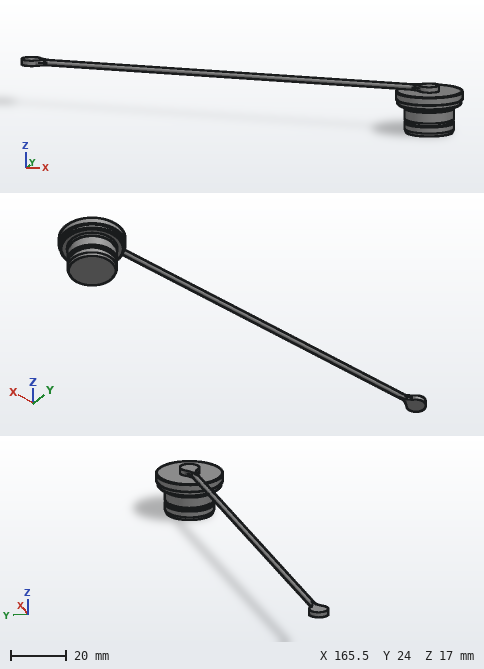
import cadquery as cq
import math

tab_spacing = 150.0
tab_radius = 3.5
strap_thickness = 2.0
cord_radius = strap_thickness / 2
neck_side_radius = 5.0
neck_face_radius = 7.5
face_tip_half_width = 0.05

plug_height = 15.03
flange_radius = 12.0
flange_height = 3.1
flange_edge_break = 0.3
lip_radius = 11.5
lip_bottom = 4.9
lip_edge_break = 0.5
barrel_radius = 8.9
undercut_radius = 8.4
undercut_flare = 0.7
barrel_top = 6.25
groove_radius = 8.4
groove_top = 10.2
groove_bottom = 11.2
groove_slope_height = 0.4
end_chamfer_height = 1.25
end_chamfer_depth = 0.5


def make_plug():
    """Solid stepped plug revolved about Z; points are (distance from axis, height)."""
    profile = [
        (0, 0),
        (flange_radius - flange_edge_break, 0),
        (flange_radius, -flange_edge_break),
        (flange_radius, -flange_height + flange_edge_break),
        (flange_radius - flange_edge_break, -flange_height),
        (lip_radius, -flange_height),
        (lip_radius, -lip_bottom + lip_edge_break),
        (lip_radius - lip_edge_break, -lip_bottom),
        (undercut_radius + undercut_flare, -lip_bottom),
        (undercut_radius, -lip_bottom - undercut_flare),
        (undercut_radius, -barrel_top),
        (barrel_radius, -barrel_top),
        (barrel_radius, -groove_top),
        (groove_radius, -groove_top),
        (groove_radius, -groove_bottom),
        (barrel_radius, -groove_bottom - groove_slope_height),
        (barrel_radius, -plug_height + end_chamfer_height),
        (barrel_radius - end_chamfer_depth, -plug_height),
        (0, -plug_height),
    ]
    radial_plane = cq.Plane(origin=(0, 0, 0), xDir=(0, -1, 0), normal=(-1, 0, 0))
    return cq.Workplane(radial_plane).polyline(profile).close().revolve(360, (0, 0), (0, 1))


def neck_section(center_x, direction, height, blend_radius, tip_half_width):
    """Level outline from the tab center to the neck tip, with sides curving in to the tip width."""
    center_distance = tab_radius + blend_radius
    arc_center_y = tip_half_width + blend_radius
    tip_reach = math.sqrt(center_distance**2 - arc_center_y**2)
    tangent_share = tab_radius / center_distance
    tangent_x = direction * tip_reach * tangent_share
    tangent_y = arc_center_y * tangent_share
    half_angle = math.atan2(tip_reach, arc_center_y) / 2
    middle_x = direction * (tip_reach - blend_radius * math.sin(half_angle))
    middle_y = arc_center_y - blend_radius * math.cos(half_angle)
    tip_x = direction * tip_reach
    outline = (
        cq.Workplane("XY", origin=(center_x, 0, height))
        .lineTo(tangent_x, tangent_y)
        .threePointArc((middle_x, middle_y), (tip_x, tip_half_width))
        .lineTo(tip_x, -tip_half_width)
        .threePointArc((middle_x, -middle_y), (tangent_x, -tangent_y))
        .close()
    )
    return outline.val()


def make_neck(center_x, direction):
    """Neck as wide as the cord at mid height, thinning to a narrow tip on the flat faces."""
    middle = neck_section(center_x, direction, cord_radius, neck_side_radius, cord_radius)
    top = neck_section(center_x, direction, strap_thickness, neck_face_radius, face_tip_half_width)
    upper_half = cq.Workplane(cq.Solid.makeLoft([middle, top], True))
    lower_half = upper_half.mirror("XY", (0, 0, cord_radius))
    return upper_half.union(lower_half)


def make_tab(center_x, direction):
    """Flat round tab with a neck along X; direction is +1 or -1."""
    disc = cq.Workplane("XY").center(center_x, 0).circle(tab_radius).extrude(strap_thickness)
    return disc.union(make_neck(center_x, direction))


def make_cord():
    """Round cord from one tab center to the other, resting on Z = 0."""
    section_plane = cq.Plane(origin=(0, 0, cord_radius), xDir=(0, -1, 0), normal=(-1, 0, 0))
    return cq.Workplane(section_plane).circle(cord_radius).extrude(tab_spacing)


plug = make_plug()
plug_tab = make_tab(0, -1)
free_tab = make_tab(-tab_spacing, 1)
result = make_cord().union(plug_tab).union(free_tab).union(plug)